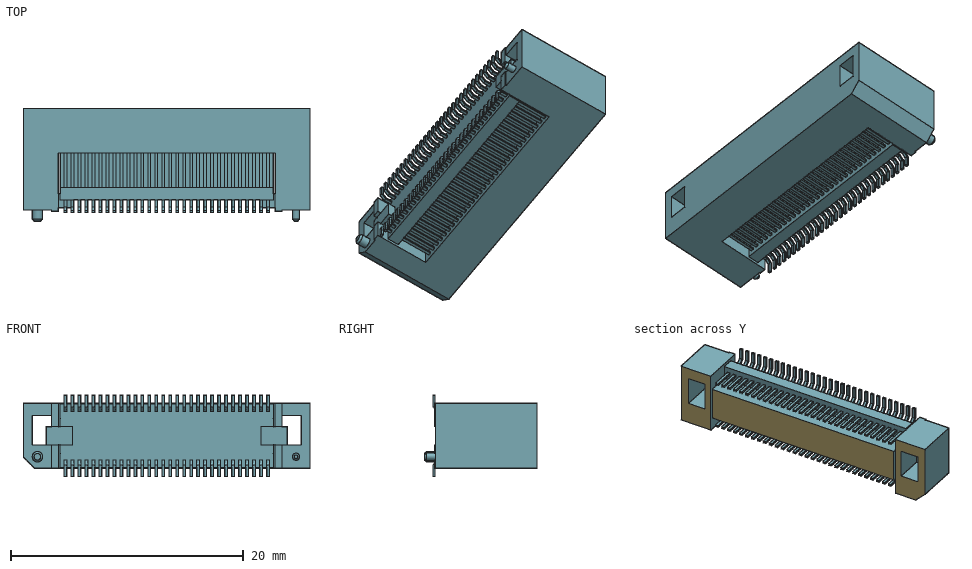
import cadquery as cq
import math


length = 24.6
depth = 8.74
height = 5.6
corner_chamfer = 0.95

recess_half_width = 9.3
recess_depth = 4.9

pad_width = 0.6
pad_thickness = 0.1

window_wall = 0.77
window_outer_x = length / 2 - window_wall
window_inner_x = recess_half_width + pad_width
window_top = 1.73

tab_outer_x = 10.35
tab_inner_x = 8.1
tab_half_height = 0.78
tab_front = 0.2
tab_back = 1.42
window_bottom = -tab_half_height

block_half_width = 9.15
block_height = 5.44
block_front = 0.87
bar_depth = 1.06
core_height = 3.0
bar_back = block_front + bar_depth

contact_count = 30
contact_pitch = 0.6
contact_width = 0.25
contact_thickness = 0.18
contact_inner_z = 2.07
contact_outer_z = contact_inner_z + contact_thickness
lead_tip_z = 3.5
lead_front = -0.21
lead_back = lead_front + contact_thickness
outer_bend = 0.42
inner_bend = outer_bend - (2 - math.sqrt(2)) * contact_thickness

pin_z = -1.8
total_depth = 9.7
pin_length = total_depth - depth
pin_taper = 0.2
left_pin_x = -11.1
left_pin_radius = 0.45
left_tip_radius = 0.28
right_pin_x = 11.1
right_pin_radius = 0.31
right_tip_radius = 0.15


def box_between(x_range, y_range, z_range):
    """Box given by its two limits along each axis."""
    size = [high - low for low, high in (x_range, y_range, z_range)]
    corner = (x_range[0], y_range[0], z_range[0])
    return cq.Workplane("XY").box(*size, centered=False).translate(corner)


def both_sides(shape):
    """The shape together with its mirror image across X = 0."""
    return shape.union(shape.mirror("YZ"))


def make_housing():
    body = cq.Workplane("XY").box(length, depth, height, centered=(True, False, True))
    body = body.edges("|Y and <X and <Z").chamfer(corner_chamfer)
    half_height = height / 2
    recess = box_between(
        (-recess_half_width, recess_half_width), (0, recess_depth), (-half_height, half_height)
    )
    pad = box_between(
        (recess_half_width, window_inner_x), (-pad_thickness, 0), (-half_height, half_height)
    )
    window = box_between(
        (window_inner_x, window_outer_x), (0, depth), (window_bottom, window_top)
    )
    tab_slot = box_between(
        (recess_half_width, window_inner_x),
        (-pad_thickness, tab_back),
        (-tab_half_height, tab_half_height),
    )
    body = body.cut(recess).union(both_sides(pad))
    return body.cut(both_sides(window)).cut(both_sides(tab_slot))


def make_tabs():
    tab = box_between(
        (tab_inner_x, tab_outer_x), (tab_front, tab_back), (-tab_half_height, tab_half_height)
    )
    return both_sides(tab)


def make_block():
    x_range = (-block_half_width, block_half_width)
    bar = box_between(x_range, (block_front, bar_back), (-block_height / 2, block_height / 2))
    core = box_between(x_range, (bar_back, recess_depth), (-core_height / 2, core_height / 2))
    return bar.union(core)


def make_contact(x):
    """Upper contact: a strip above the core and through the bar, bent up at the front into a lead."""
    outline = [
        (recess_depth, contact_inner_z),
        (recess_depth, contact_outer_z),
        (lead_back + inner_bend, contact_outer_z),
        (lead_back, contact_outer_z + inner_bend),
        (lead_back, lead_tip_z),
        (lead_front, lead_tip_z),
        (lead_front, contact_inner_z + outer_bend),
        (lead_front + outer_bend, contact_inner_z),
    ]
    profile = cq.Workplane("YZ", origin=(x, 0, 0)).polyline(outline).close()
    return profile.extrude(contact_width / 2, both=True)


def make_contacts():
    """Two mirrored rows of contacts, above and below the core."""
    contacts = []
    for index in range(contact_count):
        x = (index - (contact_count - 1) / 2) * contact_pitch
        upper = make_contact(x)
        contacts += [upper.val(), upper.mirror("XY").val()]
    return contacts


def make_pin(x, radius, tip_radius):
    """Pin standing forward from the housing, with a conical tip."""
    outline = [
        (0, 0),
        (radius, 0),
        (radius, pin_taper - pin_length),
        (tip_radius, -pin_length),
        (0, -pin_length),
    ]
    profile = cq.Workplane("XY").polyline(outline).close()
    return profile.revolve(360, (0, 0), (0, 1)).translate((x, 0, pin_z))


part = make_housing().union(make_block()).union(make_tabs())
part = part.union(make_pin(left_pin_x, left_pin_radius, left_tip_radius))
part = part.union(make_pin(right_pin_x, right_pin_radius, right_tip_radius))
result = cq.Workplane("XY").newObject([part.val().fuse(*make_contacts())])